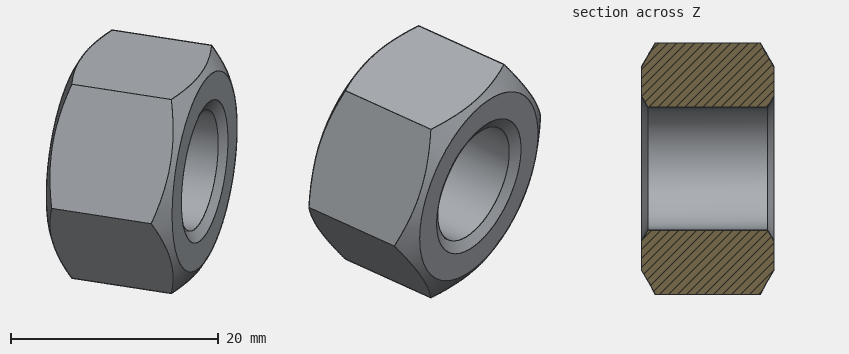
import cadquery as cq
import math

thickness = 12.8
across_flats = 21.0
across_corners = across_flats / math.cos(math.radians(30))

face_diameter = 19.6
corner_chamfer_angle = 30.0
rim_clearance = 1.0

bore_diameter = 11.84
countersink_diameter = 14.0
countersink_angle = 30.0


def hexagon_prism():
    """Hexagonal bar with corners on +Y and -Y, and flats on +Z and -Z."""
    return cq.Workplane("YZ").polygon(6, across_corners).extrude(thickness)


def revolve_about_x(half_profile):
    """Solid of revolution about the X axis from (x, radius) points."""
    return cq.Workplane("XY").polyline(half_profile).close().revolve(360, (0, 0, 0), (1, 0, 0))


def chamfer_envelope():
    """Disc with coned ends, wider than the hexagon so that only its cones cut the corners."""
    face_radius = face_diameter / 2
    rim_radius = across_corners / 2 + rim_clearance
    cone_depth = (rim_radius - face_radius) * math.tan(math.radians(corner_chamfer_angle))
    half_profile = [
        (0, 0),
        (0, face_radius),
        (cone_depth, rim_radius),
        (thickness - cone_depth, rim_radius),
        (thickness, face_radius),
        (thickness, 0),
    ]
    return revolve_about_x(half_profile)


def countersunk_bore():
    """Solid of revolution that removes the bore and both countersinks."""
    bore_radius = bore_diameter / 2
    mouth_radius = countersink_diameter / 2
    countersink_depth = (mouth_radius - bore_radius) * math.tan(math.radians(countersink_angle))
    half_profile = [
        (0, 0),
        (0, mouth_radius),
        (countersink_depth, bore_radius),
        (thickness - countersink_depth, bore_radius),
        (thickness, mouth_radius),
        (thickness, 0),
    ]
    return revolve_about_x(half_profile)


result = hexagon_prism().intersect(chamfer_envelope()).cut(countersunk_bore())